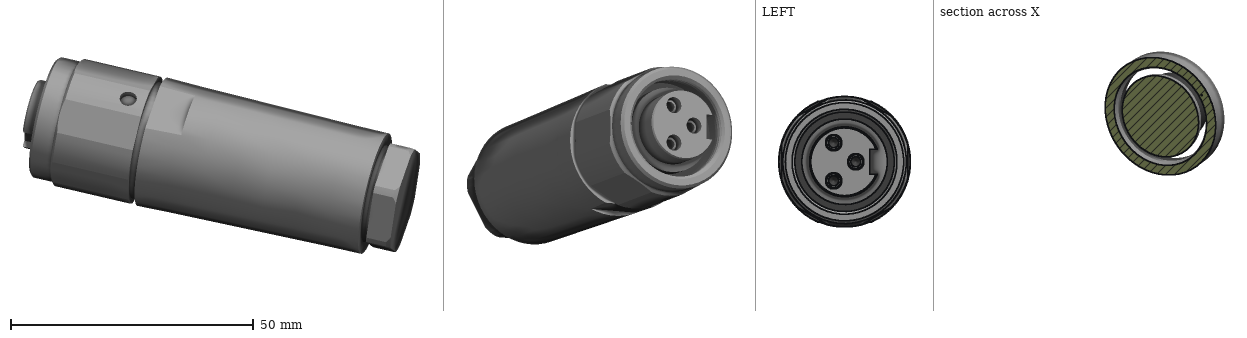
import cadquery as cq

collar_front = 3.0
grip_start = 7.6
grip_full = 8.3
grip_end = 24.5
sleeve_start = 26.0
wrench_flat_end = 33.6
sleeve_end = 73.7
nut_start = 75.15
overall_length = 80.2

insert_radius = 7.2
collar_face_radius = 24.4 / 2
collar_radius = 12.75
collar_chamfer = 0.6
grip_radius = 13.5
neck_radius = 24.6 / 2
sleeve_start_radius = 27.2 / 2
sleeve_end_radius = collar_radius
thread_crest_radius = 10.3
thread_root_radius = 9.7

grip_flat_distance = 13.0
grip_flat_count = 6

wrench_flat_distance = 12.4

grip_hole_x = 20.8
grip_hole_diameter = 3.5
grip_hole_depth = 1.6

flange_radius = 8.8
flange_face = 6.4
bore_crest_radius = 10.3
bore_root_radius = 10.8
bore_pitch = 1.0
bore_turns = 6
cavity_floor = collar_front + bore_pitch * (bore_turns + 0.5)

insert_edge_length = 0.3
insert_edge_drop = 0.25
keyway_floor = 5.2
keyway_width = 5.1
contact_places = [(2.25, 3.9), (-2.3, 0.0), (2.25, -3.9)]
contact_hole_radius = 1.7
contact_hole_depth = 4.0
contact_radius = 1.45
contact_front = 2.0
socket_radius = 1.05
socket_depth = 6.4

nut_across_flats = 21.0
nut_corner_radius = 11.7
nut_end_radius = 11.2
nut_end_chamfer = 0.8
nut_flat_angles = range(30, 390, 60)


def revolve_about_x(points):
    """Turn a closed (x, radius) outline about the X axis."""
    return cq.Workplane("XY").polyline(points).close().revolve(360, (0, 0, 0), (1, 0, 0))


def outside_flat(x_from, x_to, distance, angle):
    """Block beyond a plane parallel to X; angle 0 faces +Y and 90 faces +Z."""
    size = 4 * grip_radius
    length = x_to - x_from
    block = cq.Workplane("XY").box(length, size, size, centered=(False, False, True))
    return block.translate((x_from, distance, 0)).rotate((0, 0, 0), (1, 0, 0), angle)


def make_grip():
    grip = revolve_about_x([
        (grip_start, 0),
        (grip_start, collar_radius),
        (grip_full, grip_radius),
        (grip_end, grip_radius),
        (grip_end, 0),
    ])
    for side in range(grip_flat_count):
        angle = 360 / grip_flat_count * side
        grip = grip.cut(outside_flat(grip_start, grip_end, grip_flat_distance, angle))
    hole = (
        cq.Workplane("XY", origin=(grip_hole_x, 0, grip_radius - grip_hole_depth))
        .circle(grip_hole_diameter / 2)
        .extrude(2 * grip_hole_depth)
    )
    return grip.cut(hole)


def make_front_ring():
    return revolve_about_x([
        (collar_front, 0),
        (collar_front, collar_face_radius),
        (collar_front + collar_chamfer, collar_radius),
        (grip_start, collar_radius),
        (grip_start, 0),
    ])


def make_sleeve():
    """Neck, tapered sleeve with two wrench flats, and one thread groove before the nut."""
    sleeve = revolve_about_x([
        (grip_end, 0),
        (grip_end, neck_radius),
        (sleeve_start, neck_radius),
        (sleeve_start, sleeve_start_radius),
        (sleeve_end, sleeve_end_radius),
        (sleeve_end, thread_crest_radius),
        ((sleeve_end + nut_start) / 2, thread_root_radius),
        (nut_start, thread_crest_radius),
        (nut_start, 0),
    ])
    for angle in (90, -90):
        sleeve = sleeve.cut(outside_flat(sleeve_start, wrench_flat_end, wrench_flat_distance, angle))
    return sleeve


def make_nut():
    """Hexagon with flats on top and bottom, its corners turned down and chamfered."""
    nut = revolve_about_x([
        (nut_start, 0),
        (nut_start, nut_corner_radius),
        (overall_length - nut_end_chamfer, nut_corner_radius),
        (overall_length, nut_end_radius),
        (overall_length, 0),
    ])
    for angle in nut_flat_angles:
        nut = nut.cut(outside_flat(nut_start, overall_length, nut_across_flats / 2, angle))
    return nut


def make_cavity():
    """Ring-shaped space of the mating socket; its outer wall carries V-shaped thread grooves."""
    outline = [(collar_front, 0), (collar_front, bore_root_radius)]
    for turn in range(bore_turns):
        root_x = collar_front + turn * bore_pitch
        outline.append((root_x + bore_pitch / 2, bore_crest_radius))
        outline.append((root_x + bore_pitch, bore_root_radius))
    outline += [(cavity_floor, bore_crest_radius), (cavity_floor, 0)]
    return revolve_about_x(outline)


def make_insert():
    """Contact carrier with its flange, keyway and three contact sockets."""
    insert = revolve_about_x([
        (0, 0),
        (0, insert_radius - insert_edge_drop),
        (insert_edge_length, insert_radius),
        (flange_face, insert_radius),
        (flange_face, flange_radius),
        (cavity_floor, flange_radius),
        (cavity_floor, 0),
    ])
    keyway = (
        cq.Workplane("XY")
        .box(flange_face, insert_radius, keyway_width, centered=(False, False, True))
        .translate((0, -keyway_floor - insert_radius, 0))
    )
    insert = insert.cut(keyway)
    contact_hole = revolve_about_x([
        (0, 0),
        (0, contact_hole_radius),
        (contact_hole_depth, contact_hole_radius),
        (contact_hole_depth, contact_radius),
        (contact_front, contact_radius),
        (contact_front, socket_radius),
        (socket_depth, socket_radius),
        (socket_depth + socket_radius, 0),
    ])
    for y, z in contact_places:
        insert = insert.cut(contact_hole.translate((0, y, z)))
    return insert


housing = make_front_ring().union(make_grip()).cut(make_cavity())
result = housing.union(make_sleeve()).union(make_nut()).union(make_insert())